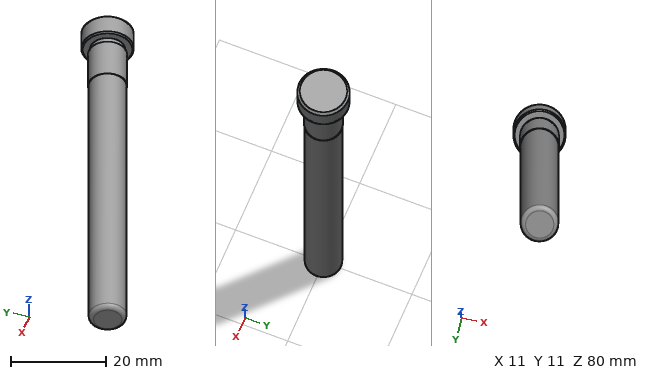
import cadquery as cq

total_length = 80.0

head_diameter = 11.0
head_height = 5.0
head_top_chamfer = 0.6
head_bottom_chamfer = 0.3

neck_diameter = 7.4
neck_height = 1.4

collar_diameter = 8.2
collar_height = 8.8

shank_diameter = 8.0
tip_fillet = 1.0

tip_z = -total_length / 2
head_top_z = total_length / 2
head_bottom_z = head_top_z - head_height
collar_top_z = head_bottom_z - neck_height
collar_bottom_z = collar_top_z - collar_height


def cylinder(diameter, bottom_z, top_z):
    """Solid cylinder on the Z axis between two levels."""
    return cq.Workplane("XY").workplane(offset=bottom_z).circle(diameter / 2).extrude(top_z - bottom_z)


shank = cylinder(shank_diameter, tip_z, collar_bottom_z)
shank = shank.faces("<Z").fillet(tip_fillet)

collar = cylinder(collar_diameter, collar_bottom_z, collar_top_z)
neck = cylinder(neck_diameter, collar_top_z, head_bottom_z)

head = cylinder(head_diameter, head_bottom_z, head_top_z)
head = head.faces(">Z").chamfer(head_top_chamfer).faces("<Z").chamfer(head_bottom_chamfer)

result = shank.union(collar).union(neck).union(head)